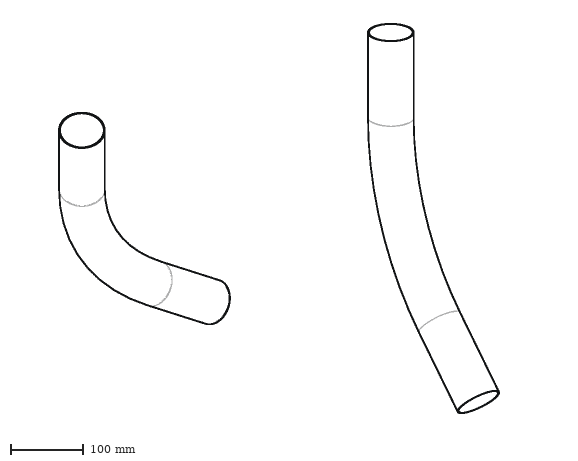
import cadquery as cq
import math

outer_diameter = 63.5
inner_diameter = 60.3
bend_radius = 6 * outer_diameter
bend_angle = 45.0
leg_length = 2 * outer_diameter


def arc_point(angle_degrees):
    """Point (y, z) on the bend centreline, which starts at the origin heading down."""
    angle = math.radians(angle_degrees)
    return (bend_radius * (1 - math.cos(angle)), -bend_radius * math.sin(angle))


def centreline():
    """Tube centreline in the YZ plane, from the top end to the lower end."""
    bend_middle = arc_point(bend_angle / 2)
    bend_end_y, bend_end_z = arc_point(bend_angle)
    slope = math.radians(bend_angle)
    lower_end = (
        bend_end_y + leg_length * math.sin(slope),
        bend_end_z - leg_length * math.cos(slope),
    )
    return (
        cq.Workplane("YZ")
        .moveTo(0, leg_length)
        .lineTo(0, 0)
        .threePointArc(bend_middle, (bend_end_y, bend_end_z))
        .lineTo(*lower_end)
    )


def bent_tube():
    """Ring section at the top end, swept along the centreline."""
    section = (
        cq.Workplane("XY")
        .workplane(offset=leg_length)
        .circle(outer_diameter / 2)
        .circle(inner_diameter / 2)
    )
    return section.sweep(centreline())


result = bent_tube()